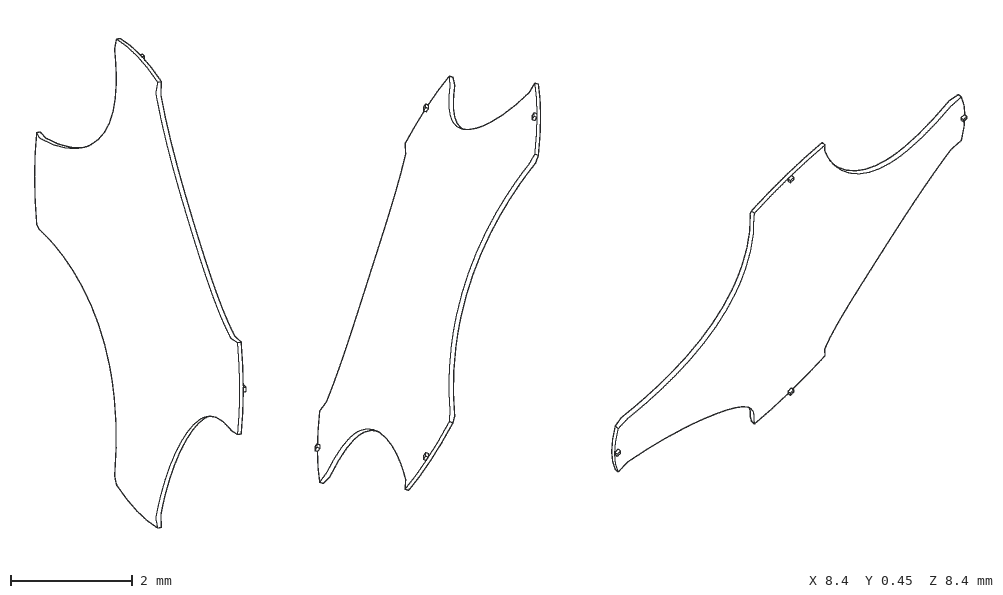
import cadquery as cq
import math

tip_radius = 4.2
dome_height = 0.45
shell_thickness = 0.08
convex_radius = 19.49
cap_radius = 2.68

shell_end_radius = 3.965
rim_inner_radius = 4.02
rim_front_rise = 0.03
rim_back_height = 0.1

arm_half_width = 0.85
cut_radius = 3.4
cut_center = 4.23

nub_size = 0.08
nub_top = 0.15
nub_inset = 0.01


def convex_height(radius):
    """Height of the convex face above the lowest plane at a given radius."""
    cap_part = min(radius, cap_radius)
    cap_sag = convex_radius - math.sqrt(convex_radius**2 - cap_part**2)
    skirt_slope = math.tan(math.asin(cap_radius / convex_radius))
    return dome_height - cap_sag - skirt_slope * (radius - cap_part)


def make_disc():
    """Full round shell, revolved about the Y axis."""
    cap_back = convex_height(cap_radius)
    mid_radius = cap_radius / 2
    mid_back = convex_height(mid_radius)
    end_back = convex_height(shell_end_radius)
    profile = (
        cq.Workplane("XY")
        .moveTo(0, dome_height)
        .threePointArc((mid_radius, mid_back), (cap_radius, cap_back))
        .lineTo(shell_end_radius, end_back)
        .lineTo(tip_radius, rim_back_height)
        .lineTo(tip_radius, rim_front_rise)
        .lineTo(rim_inner_radius, 0)
        .lineTo(shell_end_radius, end_back - shell_thickness)
        .lineTo(cap_radius, cap_back - shell_thickness)
        .threePointArc(
            (mid_radius, mid_back - shell_thickness),
            (0, dome_height - shell_thickness),
        )
        .close()
    )
    return profile.revolve(360, (0, 0, 0), (0, 1, 0))


def make_corner_cut(x_side, z_side):
    """Round scallop between two arms, squared off beyond the arm sides."""
    depth = 2 * dome_height
    scallop = cq.Workplane("XZ", origin=(0, depth, 0)).center(x_side * cut_center, z_side * cut_center)
    scallop = scallop.circle(cut_radius).extrude(2 * depth)
    square_center = arm_half_width + cut_radius
    bound = cq.Workplane("XY").box(2 * cut_radius, 2 * depth, 2 * cut_radius)
    return scallop.intersect(bound.translate((x_side * square_center, 0, z_side * square_center)))


def make_nub(angle):
    """Nub set slightly in from the arm tip, sunk to the middle of the rim."""
    bottom = (rim_front_rise + rim_back_height) / 2
    height = nub_top - bottom
    nub = cq.Workplane("XY").box(nub_size, height, nub_size)
    nub = nub.translate((tip_radius - nub_inset - nub_size / 2, bottom + height / 2, 0))
    return nub.rotate((0, 0, 0), (0, 1, 0), angle)


result = make_disc()
for x_side in (-1, 1):
    for z_side in (-1, 1):
        result = result.cut(make_corner_cut(x_side, z_side))
for angle in (0, 90, 180, 270):
    result = result.union(make_nub(angle))